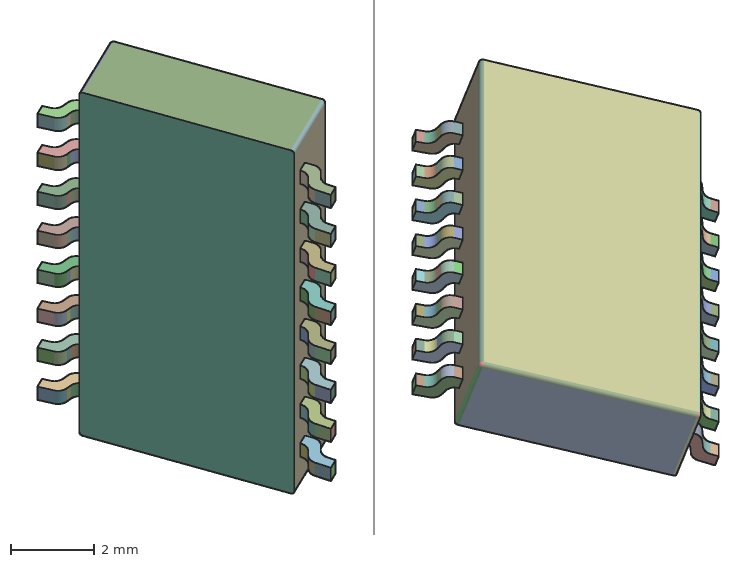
import cadquery as cq
import math

body_width = 5.59
body_depth = 2.03
body_length = 11.18
edge_radius = 0.1

leads_per_side = 8
lead_row_length = 8.89
lead_span = 7.62
lead_width = 0.44
lead_thickness = 0.3
lead_rise = 0.53
standoff = 0.17
foot_length = 0.61
bend_radius = 0.29
foot_angle = math.radians(4)
slope_angle = math.radians(69)

lead_pitch = lead_row_length / (leads_per_side - 1)
lead_tip = -lead_span / 2
lead_root = -body_width / 2 + edge_radius

tip_bottom = -standoff
shoulder_bottom = tip_bottom + lead_rise


def make_body():
    """Block with every edge rounded except those of its mounting face."""
    body = cq.Workplane("XY").box(
        body_width, body_depth, body_length, centered=(True, False, True)
    )
    return body.edges("not <Y").fillet(edge_radius)


def across_corner(corner, angle_before, angle_after):
    """Point on the upper face opposite a sharp corner of the underside."""
    mean_angle = (angle_before + angle_after) / 2
    distance = lead_thickness / math.cos((angle_after - angle_before) / 2)
    return (
        corner[0] - distance * math.sin(mean_angle),
        corner[1] + distance * math.cos(mean_angle),
    )


def make_lead():
    """One lead on the -X side, centred on Z = 0."""
    foot_corner = (lead_tip + foot_length, tip_bottom + foot_length * math.tan(foot_angle))
    slope_run = (shoulder_bottom - foot_corner[1]) / math.tan(slope_angle)
    shoulder_corner = (foot_corner[0] + slope_run, shoulder_bottom)
    sharp_lead = (
        cq.Workplane("XY")
        .polyline([
            (lead_tip, tip_bottom),
            foot_corner,
            shoulder_corner,
            (lead_root, shoulder_bottom),
            (lead_root, shoulder_bottom + lead_thickness),
            across_corner(shoulder_corner, slope_angle, 0),
            across_corner(foot_corner, foot_angle, slope_angle),
            (lead_tip, tip_bottom + lead_thickness / math.cos(foot_angle)),
        ])
        .close()
        .extrude(lead_width / 2, both=True)
    )
    bend_edges = sharp_lead.edges("|Z").edges("not <X").edges("not >X")
    return bend_edges.fillet(bend_radius)


left_lead = make_lead()
right_lead = left_lead.mirror("YZ")

result = make_body()
for index in range(leads_per_side):
    lead_z = index * lead_pitch - lead_row_length / 2
    for lead in (left_lead, right_lead):
        result = result.union(lead.translate((0, 0, lead_z)))